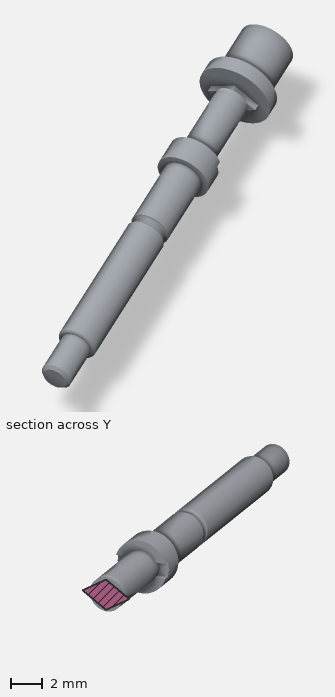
import cadquery as cq
import math

total_length = 29.8
tip_length = 2.98
groove_start = 12.72
groove_floor = 13.0
groove_end = 13.35
collar_start = 18.0
collar_length = 1.8
key_length = 0.45
neck_length = 0.45
flange_length = 1.0
head_length = 3.52

collar_end = collar_start + collar_length
flange_end = total_length - head_length
flange_start = flange_end - flange_length
neck_end = flange_start - key_length
neck_start = neck_end - neck_length

tip_diameter = 2.05
body_diameter = 2.62
shaft_diameter = 2.3
collar_diameter = 3.6
flange_diameter = 5.0
head_diameter = 3.72

tip_chamfer = 0.2
body_round = 0.25
groove_start_hollow = 0.05
groove_end_hollow = 0.105
neck_sag = 0.03
key_width = 3.37
key_height = 2.12
slot_width = 1.0
slot_depth = 0.4

tip_radius = tip_diameter / 2
body_radius = body_diameter / 2
shaft_radius = shaft_diameter / 2
collar_radius = collar_diameter / 2


def groove_wall_middle(edge_y, hollow):
    """Middle point of a concave groove wall running between a body edge and the groove floor."""
    return (body_radius + shaft_radius) / 2 - hollow, (edge_y + groove_floor) / 2


def body_round_middle():
    """Middle point of the quarter round on the tip-side rim of the body."""
    inset = body_round * (1 - math.sqrt(0.5))
    return body_radius - inset, tip_length + inset


def turned_pin():
    """Half outline of the pin (radius, Y) from the tip to the end of the neck, revolved about Y."""
    outline = (
        cq.Workplane("XY")
        .moveTo(0, 0)
        .lineTo(tip_radius - tip_chamfer, 0)
        .lineTo(tip_radius, tip_chamfer)
        .lineTo(tip_radius, tip_length)
        .lineTo(body_radius - body_round, tip_length)
        .threePointArc(
            body_round_middle(),
            (body_radius, tip_length + body_round),
        )
        .lineTo(body_radius, groove_start)
        .threePointArc(
            groove_wall_middle(groove_start, groove_start_hollow),
            (shaft_radius, groove_floor),
        )
        .threePointArc(
            groove_wall_middle(groove_end, groove_end_hollow),
            (body_radius, groove_end),
        )
        .lineTo(body_radius, collar_start)
        .lineTo(collar_radius, collar_start)
        .lineTo(collar_radius, collar_end)
        .lineTo(shaft_radius, collar_end)
        .lineTo(shaft_radius, neck_start)
        .threePointArc(
            (shaft_radius - neck_sag, (neck_start + neck_end) / 2),
            (shaft_radius, neck_end),
        )
        .lineTo(0, neck_end)
        .close()
    )
    return outline.revolve(360, (0, 0, 0), (0, 1, 0))


def disc(diameter, start, length):
    """Cylinder along +Y."""
    plane = cq.Plane(origin=(0, start, 0), xDir=(1, 0, 0), normal=(0, 1, 0))
    return cq.Workplane(plane).circle(diameter / 2).extrude(length)


def rhombic_key():
    """Rhombus between neck and flange, with its long diagonal along X."""
    corners = [
        (key_width / 2, 0),
        (0, key_height / 2),
        (-key_width / 2, 0),
        (0, -key_height / 2),
    ]
    plane = cq.Plane(origin=(0, neck_end, 0), xDir=(1, 0, 0), normal=(0, 1, 0))
    return cq.Workplane(plane).polyline(corners).close().extrude(key_length)


def collar_slot():
    """Slot across the head-side face of the collar, leaving the shaft whole."""
    slot = cq.Workplane("XY").box(collar_diameter, slot_depth, slot_width)
    slot = slot.translate((0, collar_end - slot_depth / 2, 0))
    return slot.cut(disc(shaft_diameter, collar_end - slot_depth, slot_depth))


result = (
    turned_pin()
    .cut(collar_slot())
    .union(rhombic_key())
    .union(disc(flange_diameter, flange_start, flange_length))
    .union(disc(head_diameter, flange_end, head_length))
)